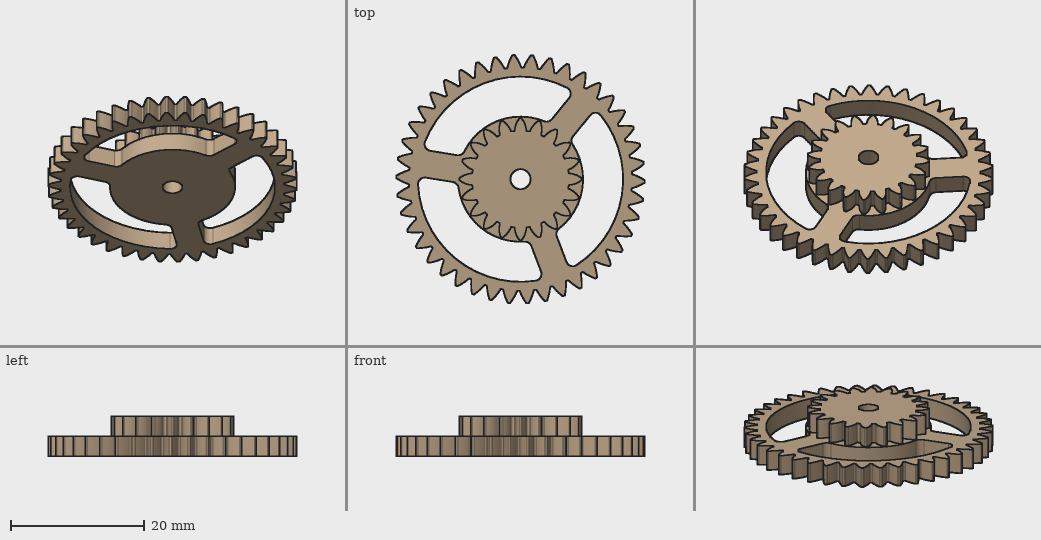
import cadquery as cq
import math

bore_radius = 1.5
face_width = 3.03
pressure_angle = math.radians(28)
addendum_factor = 1.0
dedendum_factor = 1.25
flank_clearance = 0.007
tip_round = 0.1

wheel_teeth = 42
wheel_outer_radius = 18.7
wheel_module = 2 * wheel_outer_radius / (wheel_teeth + 2 * addendum_factor)
wheel_tooth_angle = -1.05
wheel_root_round = 0.07

spoke_count = 3
spoke_width = 4.1
spoke_angle = 50.8
hub_radius = 9.42
rim_inner_radius = 15.4
window_corner_radius = 1.0

pinion_teeth = 20
pinion_module = 0.835
pinion_tooth_angle = 0.0
pinion_root_round = 0.1

on_circle_tolerance = 0.005


def involute(angle):
    return math.tan(angle) - angle


def polar(radius, angle):
    return (radius * math.cos(angle), radius * math.sin(angle))


def make_tooth(module, teeth):
    """One tooth along +X, reaching inside the root circle, with rounded tip edges."""
    pitch_radius = module * teeth / 2
    base_radius = pitch_radius * math.cos(pressure_angle)
    root_radius = pitch_radius - dedendum_factor * module
    tip_radius = pitch_radius + addendum_factor * module
    middle_radius = (root_radius + tip_radius) / 2
    buried_radius = root_radius - module
    pitch_half_angle = math.pi / (2 * teeth) - flank_clearance / pitch_radius

    def half_angle(radius):
        """Angle from the tooth centre to the involute flank."""
        roll = math.acos(min(1.0, base_radius / radius))
        return pitch_half_angle + involute(pressure_angle) - involute(roll)

    def left(radius):
        return polar(radius, half_angle(radius))

    def right(radius):
        return polar(radius, -half_angle(radius))

    tip_edges = cq.selectors.BoxSelector(
        (middle_radius, -module, 0), (tip_radius + module, module, face_width)
    )
    return (
        cq.Workplane("XY")
        .moveTo(*polar(buried_radius, -half_angle(root_radius)))
        .lineTo(*right(root_radius))
        .threePointArc(right(middle_radius), right(tip_radius))
        .threePointArc((tip_radius, 0), left(tip_radius))
        .threePointArc(left(middle_radius), left(root_radius))
        .lineTo(*polar(buried_radius, half_angle(root_radius)))
        .close()
        .extrude(face_width)
        .edges(tip_edges)
        .edges("|Z")
        .fillet(tip_round)
    )


class RootEdges(cq.Selector):
    """Selects the edges that lie on the root circle."""

    def __init__(self, root_radius):
        self.root_radius = root_radius

    def filter(self, edges):
        def offset(edge):
            centre = edge.Center()
            return abs(math.hypot(centre.x, centre.y) - self.root_radius)

        return [edge for edge in edges if offset(edge) < on_circle_tolerance]


def make_gear_blank(module, teeth, first_tooth_angle, root_round):
    """Root disc with every tooth joined on, the gap corners rounded and the bore cut through."""
    root_radius = module * (teeth / 2 - dedendum_factor)
    blank = cq.Workplane("XY").circle(root_radius).extrude(face_width)
    tooth = make_tooth(module, teeth).val()
    copies = [
        tooth.rotate((0, 0, 0), (0, 0, 1), first_tooth_angle + i * 360 / teeth)
        for i in range(teeth)
    ]
    blank = cq.Workplane(blank.val().fuse(*copies))
    gap_corners = blank.edges("|Z").edges(RootEdges(root_radius))
    blank = gap_corners.fillet(root_round)
    return blank.cut(cq.Workplane("XY").circle(bore_radius).extrude(face_width))


def make_window():
    """Cutter for the opening that follows the spoke along +X, counterclockwise."""
    half_width = spoke_width / 2
    step = 2 * math.pi / spoke_count
    middle = step / 2

    def spoke_side_angle(radius):
        return math.asin(half_width / radius)

    inner_start = spoke_side_angle(hub_radius)
    outer_start = spoke_side_angle(rim_inner_radius)
    window = (
        cq.Workplane("XY")
        .moveTo(*polar(hub_radius, inner_start))
        .lineTo(*polar(rim_inner_radius, outer_start))
        .threePointArc(polar(rim_inner_radius, middle), polar(rim_inner_radius, step - outer_start))
        .lineTo(*polar(hub_radius, step - inner_start))
        .threePointArc(polar(hub_radius, middle), polar(hub_radius, inner_start))
        .close()
        .extrude(face_width)
    )

    def round_corners(body, radius, angle):
        for corner_angle in (angle, step - angle):
            x, y = polar(radius, corner_angle)
            corner = cq.selectors.NearestToPointSelector((x, y, face_width / 2))
            body = body.edges("|Z").edges(corner).fillet(window_corner_radius)
        return body

    window = round_corners(window, rim_inner_radius, outer_start)
    return round_corners(window, hub_radius, inner_start)


def make_wheel():
    wheel = make_gear_blank(wheel_module, wheel_teeth, wheel_tooth_angle, wheel_root_round)
    window = make_window()
    for i in range(spoke_count):
        turn = spoke_angle + i * 360 / spoke_count
        wheel = wheel.cut(window.rotate((0, 0, 0), (0, 0, 1), turn))
    return wheel


def make_pinion():
    pinion = make_gear_blank(pinion_module, pinion_teeth, pinion_tooth_angle, pinion_root_round)
    return pinion.translate((0, 0, face_width))


wheel = make_wheel()
pinion = make_pinion()

result = cq.Compound.makeCompound([wheel.val(), pinion.val()])